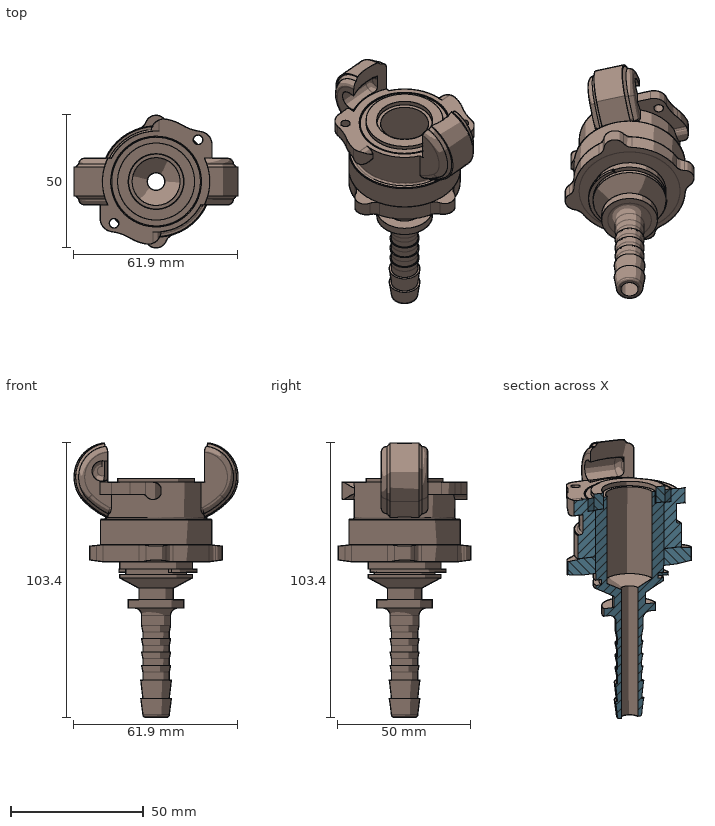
import cadquery as cq
import math


top_z = 103.35
face_z = 88.5
gasket_top_z = face_z + 1.5
gasket_seat_z = face_z - 5.0
collar_top_z = 74.6
nut_top_z = 65.0
nut_bottom_z = 58.4

groove_top_z = 55.75
groove_bottom_z = 53.85
flange_bottom_z = 52.5
cone_bottom_z = 48.6
stop_top_z = 44.3
stop_bottom_z = 41.1
ridges_top_z = 34.6
ridge_pitch = 5.0
ridge_cone_length = ridge_pitch / 2
ridge_count = 4
upper_barb_z = 14.0
lower_barb_z = 7.1
tail_end_round = 1.0

bore_radius = 6.5 / 2
chamber_radius = 18.0 / 2
spigot_radius = 20.7 / 2
shaft_radius = 27.5 / 2
groove_radius = 23.0 / 2
waist_radius = 13.0 / 2
stop_radius = 21.0 / 2
stem_radius = 11.0 / 2
root_radius = 10.0 / 2
barb_radius = 11.6 / 2
stop_fillet = 2.7
spigot_top_z = face_z - 0.2
chamber_bottom_z = 54.0
throat_z = 51.0

clip_thickness = 1.2
clip_outer_radius = 14.75
clip_offset = 1.15
clip_back_angle = 52.0
clip_half_gap = 62.0

gasket_radius = 29.0 / 2
carrier_radius = 33.4 / 2
gasket_bore_radius = 21.0 / 2

head_radius = 38.0 / 2
head_bore_chamfer = 0.4
collar_radius = 21.0
collar_chamfer = 0.3
collar_fillet = 0.7
ear_thickness = 4.65
ear_side_x = 21.1
ear_length = 25.0
ear_corner_radius = 5.0
ear_corner_y = 13.9
ear_neck_point = (-16.7, -18.9)
ear_waist_point = (-9.8, -21.3)
ear_crown_point = (-3.9, -23.5)
ear_end_mid_point = (0.43, -22.14)
ear_end_point = (1.9, -18.6)
ear_hole_radius = 3.5 / 2
ear_hole_x = 15.8
ear_hole_y = 15.7
lug_radius = 6.5 / 2
lug_x = -1.15
lug_blend = 1.0

claw_tip_x = 61.85 / 2
claw_radius = 13.0
claw_center_x = claw_tip_x - claw_radius
claw_center_z = 90.44
claw_bottom_z = collar_top_z + collar_fillet
claw_base_radius = 31.0
claw_arc_angle = 45.0
claw_inner_x = 15.0
claw_opening_radius = 20.2
claw_band_half_width = 5.5
claw_half_width = 8.8
claw_shoulder_step = 1.3
claw_shoulder_shift = 0.45
claw_shoulder_fillet = 2.3
claw_flare = 1.1
pocket_top_z = face_z + 8.0
pocket_radius = 3.8
pocket_center_x = 20.3
pocket_end_y = 5.3
pocket_end_fillet = 2.0

nut_radius = collar_radius
nut_lobe_tip = 25.0
nut_lobe_radius = 4.1
nut_lobe_count = 4
nut_lobe_blend = 4.2
nut_top_drop = 0.5
nut_bottom_rise = 0.8
nut_top_bevel_inner = 20.0
nut_bottom_bevel_inner = 19.0


def ring(outer, inner, bottom, top):
    start = cq.Workplane("XY", origin=(0, 0, bottom))
    return start.circle(outer).circle(inner).extrude(top - bottom)


def disc(radius, bottom, top):
    return cq.Workplane("XY", origin=(0, 0, bottom)).circle(radius).extrude(top - bottom)


def half_turn(shape):
    return shape.rotate((0, 0, 0), (0, 0, 1), 180)


def ear():
    """Ear on the -X, -Y side, ending in a rounded locking lug."""
    diagonal = math.sqrt(0.5) * ear_corner_radius
    outline = (
        cq.Workplane("XY", origin=(0, 0, collar_top_z))
        .moveTo(0, 0)
        .lineTo(-ear_side_x, 0)
        .lineTo(-ear_side_x, -ear_corner_y)
        .threePointArc(
            (-ear_side_x + ear_corner_radius - diagonal, -ear_corner_y - diagonal),
            ear_neck_point,
        )
        .tangentArcPoint(ear_waist_point, relative=False)
        .tangentArcPoint(ear_crown_point, relative=False)
        .threePointArc(ear_end_mid_point, ear_end_point)
        .close()
        .extrude(face_z - collar_top_z)
    )
    lug_z = face_z - lug_radius
    ear_bottom_z = face_z - ear_thickness
    slab = (
        cq.Workplane("XZ")
        .moveTo(-ear_side_x, ear_bottom_z)
        .lineTo(lug_x, ear_bottom_z)
        .lineTo(lug_x, face_z)
        .lineTo(-ear_side_x, face_z)
        .close()
        .extrude(ear_length)
    )
    lug = cq.Workplane("XZ").center(lug_x, lug_z).circle(lug_radius).extrude(ear_length)
    corner_x = lug_x - math.sqrt(lug_radius**2 - (lug_z - ear_bottom_z) ** 2)
    corner = cq.selectors.NearestToPointSelector((corner_x, -ear_length / 2, ear_bottom_z))
    side = slab.union(lug).edges(corner).fillet(lug_blend)
    hole = (
        cq.Workplane("XY", origin=(-ear_hole_x, -ear_hole_y, collar_top_z))
        .circle(ear_hole_radius)
        .extrude(face_z - collar_top_z)
    )
    return outline.intersect(side).cut(hole)


def claw_outline(inset, shift=0):
    """Side outline of the claw on the -X side, moved inward by the inset and along X by the shift."""
    radius = claw_radius - inset
    base_radius = claw_base_radius - inset
    bottom_z = claw_bottom_z + inset
    angle = math.radians(claw_arc_angle)
    center_gap = claw_base_radius - claw_radius
    center_x = shift - claw_center_x
    base_x = center_x + center_gap * math.cos(angle)
    base_z = claw_center_z + center_gap * math.sin(angle)

    def base_point(turn):
        return (base_x - base_radius * math.cos(turn), base_z - base_radius * math.sin(turn))

    end_angle = math.asin((base_z - bottom_z) / base_radius)
    return (
        cq.Workplane("XZ")
        .moveTo(-claw_inner_x, claw_center_z + radius)
        .lineTo(center_x, claw_center_z + radius)
        .threePointArc((center_x - radius, claw_center_z), base_point(angle))
        .threePointArc(base_point((angle + end_angle) / 2), base_point(end_angle))
        .lineTo(-claw_inner_x, bottom_z)
        .close()
    )


def claw():
    """Claw on the -X side, with a pocket that is open toward -Y."""
    band = claw_outline(0).extrude(claw_band_half_width, both=True)
    shoulder_outline = claw_outline(claw_shoulder_step, claw_shoulder_shift)
    shoulders = shoulder_outline.extrude(claw_half_width, both=True)
    shoulders = shoulders.faces("<Y or >Y").edges("not(>X)").fillet(claw_shoulder_fillet)
    flare = (
        claw_outline(claw_shoulder_step - claw_flare, claw_shoulder_shift)
        .extrude(claw_band_half_width + claw_flare, both=True)
        .faces("<Y or >Y")
        .edges("not(>X)")
        .chamfer(claw_flare)
    )
    opening = disc(claw_opening_radius, face_z, top_z + claw_radius)
    pocket_z = pocket_top_z - pocket_radius
    pocket_length = pocket_end_y + claw_half_width
    pocket_end = cq.Workplane("XZ", origin=(-pocket_center_x, pocket_end_y, pocket_z))
    groove = (
        pocket_end.circle(pocket_radius)
        .extrude(pocket_length)
        .faces(">Y")
        .edges()
        .fillet(pocket_end_fillet)
    )
    mouth_width = pocket_center_x - claw_inner_x
    mouth = pocket_end.rect(mouth_width, pocket_radius, centered=False).extrude(pocket_length)
    pocket = groove.union(mouth)
    return band.union(flare).union(shoulders).cut(opening).cut(pocket)


def make_head():
    collar = disc(collar_radius, nut_top_z, collar_top_z).faces(">Z").chamfer(collar_chamfer)
    head = collar.union(disc(head_radius, nut_top_z, face_z))
    foot_reach = (head_radius + collar_radius) / 2
    foot = cq.selectors.BoxSelector(
        (-foot_reach, -foot_reach, collar_top_z - collar_chamfer / 2),
        (foot_reach, foot_reach, collar_top_z + collar_chamfer / 2),
        boundingbox=True,
    )
    head = head.edges(foot).fillet(collar_fillet)
    for feature in (ear(), claw()):
        head = head.union(feature).union(half_turn(feature))
    gasket_recess = disc(carrier_radius, gasket_seat_z, face_z)
    recess_bevel = (
        cq.Workplane("XY", origin=(0, 0, face_z))
        .circle(carrier_radius + head_bore_chamfer)
        .workplane(offset=-head_bore_chamfer)
        .circle(carrier_radius)
        .loft()
    )
    shaft_hole = disc(shaft_radius, nut_top_z, face_z)
    return head.cut(gasket_recess).cut(recess_bevel).cut(shaft_hole)


def make_carrier():
    return ring(carrier_radius, gasket_radius, gasket_seat_z, face_z)


def make_gasket():
    return ring(gasket_radius, gasket_bore_radius, gasket_seat_z, gasket_top_z)


def make_nut():
    height = nut_top_z - nut_bottom_z
    base = cq.Workplane("XY", origin=(0, 0, nut_bottom_z))
    nut = base.circle(nut_radius).extrude(height)
    lobes = (
        base.polarArray(nut_lobe_tip - nut_lobe_radius, 0, 360, nut_lobe_count)
        .circle(nut_lobe_radius)
        .extrude(height)
    )
    corner_reach = 2 * nut_lobe_radius
    inside_corners = cq.selectors.SumSelector(
        cq.selectors.BoxSelector((-corner_reach, -nut_lobe_tip, 0), (corner_reach, nut_lobe_tip, nut_top_z)),
        cq.selectors.BoxSelector((-nut_lobe_tip, -corner_reach, 0), (nut_lobe_tip, corner_reach, nut_top_z)),
    )
    nut = nut.union(lobes, clean=False).edges("|Z").edges(inside_corners).fillet(nut_lobe_blend)
    bevelled = (
        cq.Workplane("XZ")
        .moveTo(shaft_radius, nut_bottom_z)
        .lineTo(nut_bottom_bevel_inner, nut_bottom_z)
        .lineTo(nut_lobe_tip, nut_bottom_z + nut_bottom_rise)
        .lineTo(nut_lobe_tip, nut_top_z - nut_top_drop)
        .lineTo(nut_top_bevel_inner, nut_top_z)
        .lineTo(shaft_radius, nut_top_z)
        .close()
        .revolve(360, (0, 0, 0), (0, 1, 0))
    )
    return nut.intersect(bevelled)


def make_tail():
    profile = (
        cq.Workplane("XZ")
        .moveTo(bore_radius, 0)
        .lineTo(bore_radius, throat_z)
        .lineTo(chamber_radius, chamber_bottom_z)
        .lineTo(chamber_radius, spigot_top_z)
        .lineTo(spigot_radius, spigot_top_z)
        .lineTo(spigot_radius, gasket_seat_z)
        .lineTo(shaft_radius, gasket_seat_z)
        .lineTo(shaft_radius, groove_top_z)
        .lineTo(groove_radius, groove_top_z)
        .lineTo(groove_radius, groove_bottom_z)
        .lineTo(shaft_radius, groove_bottom_z)
        .lineTo(shaft_radius, flange_bottom_z)
        .lineTo(waist_radius, cone_bottom_z)
        .lineTo(waist_radius, stop_top_z)
        .lineTo(stop_radius, stop_top_z)
        .lineTo(stop_radius, stop_bottom_z)
        .lineTo(stem_radius + stop_fillet, stop_bottom_z)
        .radiusArc((stem_radius, stop_bottom_z - stop_fillet), -stop_fillet)
    )
    for index in range(ridge_count):
        ridge_z = ridges_top_z - index * ridge_pitch
        profile = (
            profile.lineTo(stem_radius, ridge_z)
            .lineTo(root_radius, ridge_z - ridge_cone_length)
            .lineTo(root_radius, ridge_z - ridge_pitch)
        )
    profile = (
        profile.lineTo(root_radius, upper_barb_z)
        .lineTo(barb_radius, upper_barb_z)
        .lineTo(root_radius, lower_barb_z)
        .lineTo(barb_radius, lower_barb_z)
        .lineTo(root_radius, tail_end_round)
        .radiusArc((root_radius - tail_end_round, 0), tail_end_round)
        .close()
    )
    return profile.revolve(360, (0, 0, 0), (0, 1, 0))


def make_clip():
    """Open ring in the groove of the tail; its gap lies opposite the thickest point."""
    blank = (
        cq.Workplane("XY", origin=(0, 0, groove_top_z - clip_thickness))
        .center(clip_offset, 0)
        .circle(clip_outer_radius)
        .extrude(clip_thickness)
        .cut(disc(groove_radius, groove_bottom_z, groove_top_z))
    )
    reach = 2 * clip_outer_radius
    half_gap = math.radians(clip_half_gap)
    gap_x = -reach * math.cos(half_gap)
    gap_y = reach * math.sin(half_gap)
    gap = (
        cq.Workplane("XY", origin=(0, 0, groove_bottom_z))
        .polyline([(0, 0), (gap_x, gap_y), (gap_x, -gap_y)])
        .close()
        .extrude(groove_top_z - groove_bottom_z)
    )
    return blank.cut(gap).rotate((0, 0, 0), (0, 0, 1), clip_back_angle)


head = make_head()
gasket = make_gasket()
carrier = make_carrier()
nut = make_nut()
tail = make_tail()
clip = make_clip()

result = cq.Compound.makeCompound(
    [head.val(), gasket.val(), carrier.val(), nut.val(), tail.val(), clip.val()]
)